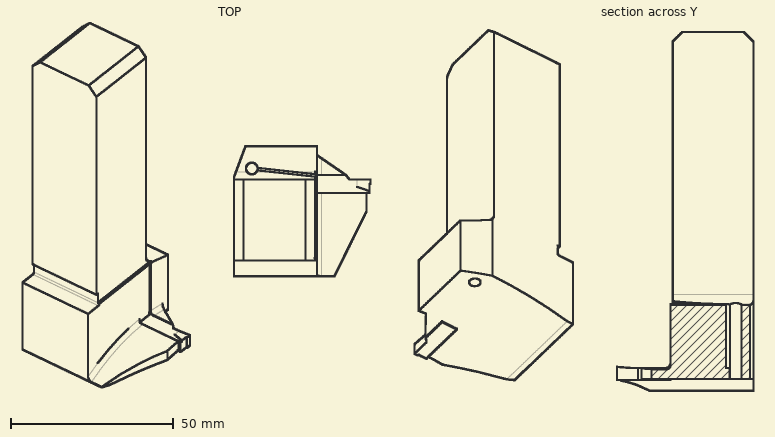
import cadquery as cq
import math

total_height = 110.3

shank_width = 24.9
shank_front = 5.0
shank_back = shank_front + shank_width
shank_chamfer = 3.0

head_width = 25.6
head_depth = 40.0
head_top = 26.1
step_top = 26.7
corner_cut_x = 3.5
corner_cut_y = 9.5
shoulder_back_z = 24.6
shoulder_angle = 15
shoulder_fillet = 3.0
relief_depth = 0.8
relief_top = 30.2
relief_fillet = 0.5

foot_depth = 2.2
arch_crown_y = 30.9
arch_crown_z = 3.6
arch_half_span = arch_crown_y - foot_depth
arch_radius = (arch_half_span**2 + arch_crown_z**2) / (2 * arch_crown_z)

hole_x = 5.5
hole_y = 33.2
hole_radius = 1.8
slit_width = 0.8
slit_exit_y = 31.0

support_top = 7.1
support_front_z = 0.2
support_reach = 40.8
support_front_reach = 30.9
support_corner_y = 20.1
support_back_y = 37.3
support_crown_y = 26.5
support_root_fillet = 1.3

insert_front = 25.6
insert_back = 31.2
insert_bottom = 3.3
insert_reach = 42.0
insert_neck_x = 34.4
insert_neck_run = 1.1
tip_back = 29.9
tip_heel_x = 41.7
tip_edge_width = 1.4
lip_start_x = 37.8
lip_front_y = 27.6
lip_corner_y = 26.3
lip_height = 0.3


def arch_z(y):
    """Height of the arched underside at a given Y."""
    return arch_crown_z - arch_radius + math.sqrt(arch_radius**2 - (y - arch_crown_y) ** 2)


def shoulder_front_z():
    """Height where the sloping rear shoulder meets the back of the shank."""
    return shoulder_back_z + (head_depth - shank_back) * math.tan(math.radians(shoulder_angle))


def side_profile():
    """YZ outline of the shank and head, with the arched underside."""
    return (
        cq.Workplane("YZ")
        .moveTo(0, 0)
        .lineTo(foot_depth, 0)
        .threePointArc((arch_crown_y, arch_crown_z), (head_depth, arch_z(head_depth)))
        .lineTo(head_depth, shoulder_back_z)
        .lineTo(shank_back, shoulder_front_z())
        .lineTo(shank_back, total_height)
        .lineTo(shank_front, total_height)
        .lineTo(shank_front, relief_top)
        .lineTo(shank_front + relief_depth, relief_top)
        .lineTo(shank_front + relief_depth, head_top)
        .lineTo(0, head_top)
        .close()
    )


def shank_and_head():
    body = side_profile().extrude(head_width)
    shoulder_edge = cq.selectors.NearestToPointSelector((head_width / 2, shank_back, shoulder_front_z()))
    body = body.edges(shoulder_edge).fillet(shoulder_fillet)
    relief_edge = cq.selectors.NearestToPointSelector(
        (head_width / 2, shank_front + relief_depth, head_top)
    )
    body = body.edges(relief_edge).fillet(relief_fillet)

    side_step = cq.Workplane("XY").box(
        head_width - shank_width, head_depth, total_height - step_top, centered=False
    )
    body = body.cut(side_step.translate((shank_width, 0, step_top)))
    body = body.faces(">Z").edges("|Y").chamfer(shank_chamfer)

    corner = (
        cq.Workplane("XY")
        .moveTo(0, head_depth)
        .lineTo(corner_cut_x, head_depth)
        .lineTo(0, head_depth - corner_cut_y)
        .close()
        .extrude(total_height)
    )
    return body.cut(corner)


def clamping_slit():
    """Through hole and the narrow slit from it to the head side, both behind the shank."""
    hole = cq.Workplane("XY").center(hole_x, hole_y).circle(hole_radius).extrude(total_height)
    slit = (
        cq.Workplane("XY", origin=(0, 0, support_top))
        .moveTo(hole_x, hole_y - slit_width / 2)
        .lineTo(head_width, slit_exit_y - slit_width / 2)
        .lineTo(head_width, slit_exit_y + slit_width / 2)
        .lineTo(hole_x, hole_y + slit_width / 2)
        .close()
        .extrude(total_height)
    )
    return hole.union(slit)


def blade_support():
    """Curved shelf: YZ band between two arcs, trimmed to its plan outline."""
    top_drop = support_top - support_front_z
    top_radius = (support_crown_y**2 + top_drop**2) / (2 * top_drop)
    back_run = support_back_y - support_crown_y
    top_back_z = support_top - top_radius + math.sqrt(top_radius**2 - back_run**2)
    band = (
        cq.Workplane("YZ")
        .moveTo(0, 0)
        .lineTo(foot_depth, 0)
        .threePointArc((arch_crown_y, arch_crown_z), (support_back_y, arch_z(support_back_y)))
        .lineTo(support_back_y, top_back_z)
        .threePointArc((support_crown_y, support_top), (0, support_front_z))
        .close()
        .extrude(insert_reach)
    )
    plan = (
        cq.Workplane("XY")
        .moveTo(0, 0)
        .lineTo(support_front_reach, 0)
        .lineTo(support_reach, support_corner_y)
        .lineTo(support_reach, insert_front)
        .lineTo(insert_neck_x, insert_front)
        .lineTo(insert_neck_x, insert_back)
        .lineTo(head_width, support_back_y)
        .lineTo(head_width / 2, support_back_y)
        .lineTo(head_width / 2, 0)
        .close()
        .extrude(head_top)
    )
    return band.intersect(plan)


def root_fillet(body):
    """Fillet where the support's curved top meets the head side."""
    margin = 0.1
    root = cq.selectors.BoxSelector(
        (head_width - margin, -margin, 0),
        (head_width + margin, support_back_y + margin, support_top + margin),
        boundingbox=True,
    )
    return body.edges(root).edges("%CIRCLE").fillet(support_root_fillet)


def insert_seat():
    """Slot across the blade support, as wide as the insert."""
    return cq.Workplane("XY").box(
        insert_reach - head_width, insert_back - insert_front, head_top, centered=False
    ).translate((head_width, insert_front, 0))


def make_holder():
    body = shank_and_head().union(blade_support())
    body = root_fillet(body)
    return body.cut(insert_seat()).cut(clamping_slit())


def make_insert():
    blade = (
        cq.Workplane("XY", origin=(0, 0, insert_bottom))
        .moveTo(head_width, insert_front)
        .lineTo(tip_heel_x, insert_front)
        .lineTo(tip_heel_x, tip_back - tip_edge_width)
        .lineTo(insert_reach, tip_back - tip_edge_width)
        .lineTo(insert_reach, tip_back)
        .lineTo(insert_neck_x + insert_neck_run, tip_back)
        .lineTo(insert_neck_x, insert_back)
        .lineTo(head_width, insert_back)
        .close()
        .extrude(support_top - insert_bottom)
    )
    ramp = (
        cq.Workplane("XZ", origin=(0, tip_back, 0))
        .moveTo(lip_start_x, support_top)
        .lineTo(insert_reach, support_top)
        .lineTo(insert_reach, support_top + lip_height)
        .close()
        .extrude(tip_back - insert_front)
    )
    lip_plan = (
        cq.Workplane("XY", origin=(0, 0, support_top))
        .moveTo(lip_start_x, tip_back)
        .lineTo(lip_start_x, lip_front_y)
        .lineTo(tip_heel_x, lip_corner_y)
        .lineTo(tip_heel_x, tip_back - tip_edge_width)
        .lineTo(insert_reach, tip_back - tip_edge_width)
        .lineTo(insert_reach, tip_back)
        .close()
        .extrude(lip_height)
    )
    return blade.union(ramp.intersect(lip_plan))


holder = make_holder()
insert = make_insert()
result = cq.Compound.makeCompound([holder.val(), insert.val()])